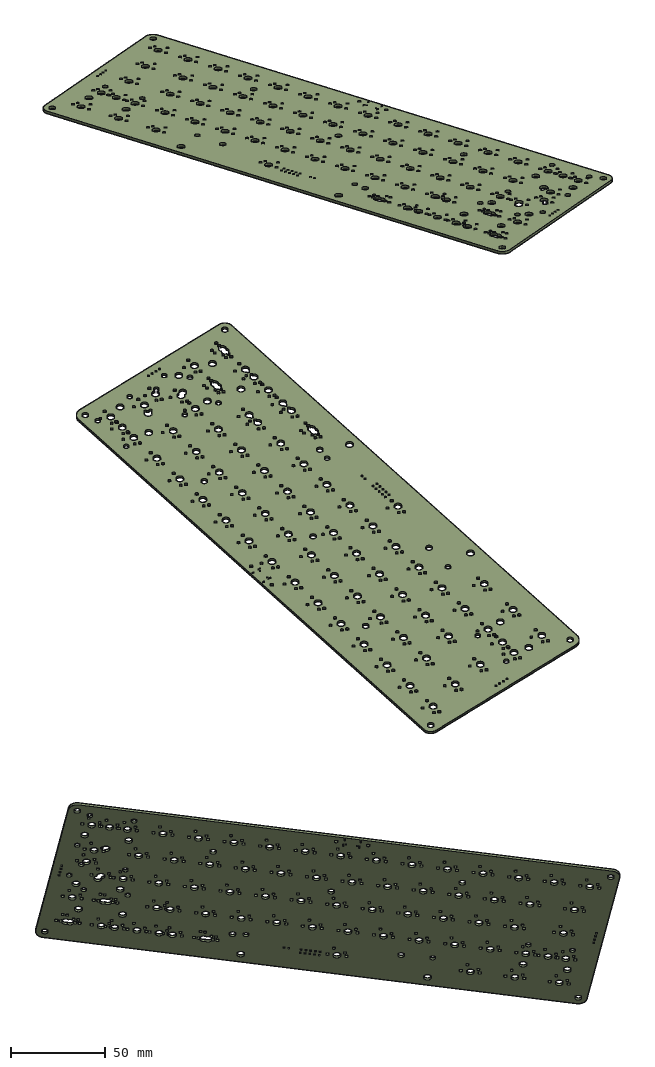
import cadquery as cq

LENGTH = 295.3
FIELD_COLUMNS = 15
FIELD_ROWS = 5
STEPS_PER_KEY = 8
MARGIN_STEPS = 2
KEY_STEP = LENGTH / (FIELD_COLUMNS * STEPS_PER_KEY + 2 * MARGIN_STEPS)
KEY_PITCH = STEPS_PER_KEY * KEY_STEP
MARGIN = MARGIN_STEPS * KEY_STEP
WIDTH = FIELD_ROWS * KEY_PITCH + 2 * MARGIN
THICKNESS = 1.6
CORNER_RADIUS = MARGIN

SWITCH_GRID = KEY_PITCH / 15
STEM_DIAMETER = 4.0
PEG_DIAMETER = 1.7
PEG_OFFSET = 4 * SWITCH_GRID
PIN_DIAMETER = 1.5
PINS = [(-3 * SWITCH_GRID, 2 * SWITCH_GRID), (2 * SWITCH_GRID, 4 * SWITCH_GRID)]

CLIP_DIAMETER = 3.0
CLIP_OFFSET = 7.0
POST_DIAMETER = 4.0
POST_OFFSET = 8.3
STABILISER_REACH = 11.8
SPACEBAR_REACH = 21 * KEY_STEP

FIXING_DIAMETER = 3.5
CORNER_HOLE_X = LENGTH / 2 - CORNER_RADIUS
CORNER_HOLE_Y = WIDTH / 2 - CORNER_RADIUS
UPPER_FIXING_X = 66.7
UPPER_FIXING_Y = 29.2
MIDDLE_FIXING_Y = 10.0
LOWER_FIXING_X = 45.2
LOWER_FIXING_Y = -32.0

HEADER_DIAMETER = 1.0
HEADER_PITCH = 2 * SWITCH_GRID
SIDE_HEADER_PINS = 4
SIDE_HEADER_X = 143.2
SIDE_HEADER_Y = 0.45
PROGRAMMING_COLUMNS = 5
PROGRAMMING_ROWS = 2
PROGRAMMING_CENTER = (2.5, -38.5)
JUMPER_PINS = 2
JUMPER_CENTER = (15.5, -37.2)

USB_X = -4.0
SLOT_WIDTH = 0.5
SLOT_SPAN = 8.5
FRONT_SLOT_Y = 50.8
FRONT_SLOT_LENGTH = 1.2
BACK_SLOT_Y = 46.7
BACK_SLOT_LENGTH = 1.7
USB_PEG_DIAMETER = 0.65
USB_PEG_SPAN = 6.0
USB_PEG_Y = 47.2
USB_OUTER_DIAMETER = 1.8
USB_OUTER_SPAN = 17.0
USB_OUTER_Y = 48.7


def every(start, step, count):
    """Evenly spaced key positions."""
    return [start + step * i for i in range(count)]


KEY_ROWS = [
    every(4, 8, 15) + [112],
    [6] + every(16, 8, 12) + [114],
    [7] + every(18, 8, 12) + [111],
    [5, 9, 14] + every(22, 8, 10) + [97, 108, 109, 116],
    every(5, 10, 3) + [55] + every(84, 8, 5) + every(85, 10, 4),
]
ROW_STEPS = every(4, 8, FIELD_ROWS)

TALL_ENTER = (115, 16)
SPACEBAR = (55, 36)
STABILISED_KEYS = [(112, 4), (111, 20), (9, 28), (109, 28)]


def key_point(column, row):
    """Point given in steps from the top left corner of the key field."""
    x = column * KEY_STEP - FIELD_COLUMNS * KEY_PITCH / 2
    y = FIELD_ROWS * KEY_PITCH / 2 - row * KEY_STEP
    return x, y


def drill(diameter, center, offsets=((0, 0),)):
    """Cylinders through the board at the given offsets from a centre."""
    x, y = center
    return [
        cq.Solid.makeCylinder(diameter / 2, THICKNESS, cq.Vector(x + dx, y + dy, -THICKNESS / 2))
        for dx, dy in offsets
    ]


def switch(center):
    stem = drill(STEM_DIAMETER, center)
    pegs = drill(PEG_DIAMETER, center, [(-PEG_OFFSET, 0), (PEG_OFFSET, 0)])
    pins = drill(PIN_DIAMETER, center, PINS)
    return stem + pegs + pins


def stabiliser(center, reach):
    clips = drill(CLIP_DIAMETER, center, [(side, CLIP_OFFSET) for side in (-reach, reach)])
    posts = drill(POST_DIAMETER, center, [(side, -POST_OFFSET) for side in (-reach, reach)])
    return clips + posts


def upright_stabiliser(center, reach):
    """Stabiliser turned a quarter turn, with its clips on the +X side."""
    clips = drill(CLIP_DIAMETER, center, [(CLIP_OFFSET, side) for side in (-reach, reach)])
    posts = drill(POST_DIAMETER, center, [(-POST_OFFSET, side) for side in (-reach, reach)])
    return clips + posts


def header(center, columns, rows):
    offsets = [
        ((i - (columns - 1) / 2) * HEADER_PITCH, (j - (rows - 1) / 2) * HEADER_PITCH)
        for i in range(columns)
        for j in range(rows)
    ]
    return drill(HEADER_DIAMETER, center, offsets)


def usb_holes(diameter, span, y):
    return drill(diameter, (USB_X, y), [(-span / 2, 0), (span / 2, 0)])


def usb_slots(length, y):
    centers = [(USB_X - SLOT_SPAN / 2, y), (USB_X + SLOT_SPAN / 2, y)]
    slots = cq.Workplane("XY").pushPoints(centers).slot2D(length, SLOT_WIDTH, 90)
    return slots.extrude(THICKNESS / 2, both=True).solids().vals()


cutters = []

for columns, row in zip(KEY_ROWS, ROW_STEPS):
    for column in columns:
        cutters += switch(key_point(column, row))
cutters += switch(key_point(*TALL_ENTER))
for key in STABILISED_KEYS:
    cutters += stabiliser(key_point(*key), STABILISER_REACH)
cutters += stabiliser(key_point(*SPACEBAR), SPACEBAR_REACH)
cutters += upright_stabiliser(key_point(*TALL_ENTER), STABILISER_REACH)

cutters += drill(FIXING_DIAMETER, (0, MIDDLE_FIXING_Y))
for side in (-1, 1):
    cutters += drill(FIXING_DIAMETER, (side * CORNER_HOLE_X, CORNER_HOLE_Y))
    cutters += drill(FIXING_DIAMETER, (side * CORNER_HOLE_X, -CORNER_HOLE_Y))
    cutters += drill(FIXING_DIAMETER, (side * UPPER_FIXING_X, UPPER_FIXING_Y))
    cutters += drill(FIXING_DIAMETER, (side * LOWER_FIXING_X, LOWER_FIXING_Y))

cutters += header((-SIDE_HEADER_X, -SIDE_HEADER_Y), 1, SIDE_HEADER_PINS)
cutters += header((SIDE_HEADER_X, SIDE_HEADER_Y), 1, SIDE_HEADER_PINS)
cutters += header(PROGRAMMING_CENTER, PROGRAMMING_COLUMNS, PROGRAMMING_ROWS)
cutters += header(JUMPER_CENTER, JUMPER_PINS, 1)

cutters += usb_slots(FRONT_SLOT_LENGTH, FRONT_SLOT_Y)
cutters += usb_slots(BACK_SLOT_LENGTH, BACK_SLOT_Y)
cutters += usb_holes(USB_PEG_DIAMETER, USB_PEG_SPAN, USB_PEG_Y)
cutters += usb_holes(USB_OUTER_DIAMETER, USB_OUTER_SPAN, USB_OUTER_Y)

board = cq.Workplane("XY").box(LENGTH, WIDTH, THICKNESS).edges("|Z").fillet(CORNER_RADIUS)
result = cq.Workplane(board.val().cut(*cutters)).solids()